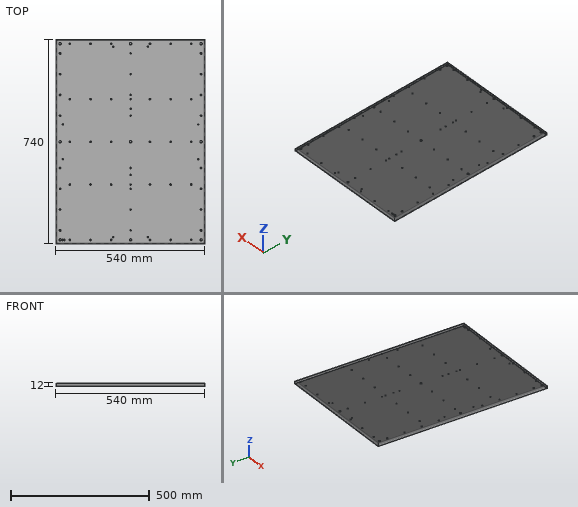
import cadquery as cq

width = 540.0
length = 740.0
height = 12.0
sheet_thickness = 1.5
bend_radius = 4.0

mount_diameter = 7.5
corner_column_diameter = 6.0
screw_diameter = 4.5
pin_diameter = 4.0

edge_inset = 15.0
edge_x = width / 2 - edge_inset
edge_y = length / 2 - edge_inset

row_x_inner = 70.0
row_x_outer = 220.0
holes_per_half_row = 3
middle_row_y = 155.0

column_y_inner = 95.0
column_y_outer = 320.5
holes_per_half_column = 4

centre_pin_y = 120.0
edge_pin_inset = 25.0
edge_pin_offset = 63.0

marker_offsets = (9.0, 15.5)


def spread(first, last, count):
    """Evenly spaced positions from first to last, both included."""
    pitch = (last - first) / (count - 1)
    return [first + i * pitch for i in range(count)]


def mirrored(points):
    """Points reflected about both centre lines, without repeats."""
    return sorted({(sx * x, sy * y) for x, y in points for sx in (-1, 1) for sy in (-1, 1)})


def drill(body, points, diameter):
    """Drill plain through holes at the given plan positions."""
    drills = cq.Workplane("XY").pushPoints(points).circle(diameter / 2).extrude(height)
    return body.cut(drills)


def sheet_tray():
    """Rectangular face with a rounded bend into a short flange on every side."""
    block = cq.Workplane("XY").box(width, length, height, centered=(True, True, False))
    block = block.faces(">Z").edges().fillet(bend_radius)
    return block.faces("<Z").shell(-sheet_thickness)


row_x = spread(row_x_inner, row_x_outer, holes_per_half_row)
column_y = spread(column_y_inner, column_y_outer, holes_per_half_column)

mount_points = mirrored([(x, y) for x in (0, edge_x) for y in (0, edge_y)])
row_points = mirrored([(x, y) for x in row_x for y in (0, middle_row_y, edge_y)])
column_points = mirrored([(edge_x, y) for y in column_y[:-1]])
corner_column_points = mirrored([(edge_x, column_y_outer)])

centre_pins = mirrored([(0, y) for y in column_y + [middle_row_y, centre_pin_y]])
end_pins = mirrored([(edge_pin_offset, length / 2 - edge_pin_inset)])
side_pins = mirrored([(width / 2 - edge_pin_inset, edge_pin_offset)])

marker_points = [(-edge_x + offset, -edge_y) for offset in marker_offsets]

result = sheet_tray()
result = drill(result, mount_points, mount_diameter)
result = drill(result, corner_column_points, corner_column_diameter)
result = drill(result, row_points + column_points + marker_points, screw_diameter)
result = drill(result, centre_pins + end_pins + side_pins, pin_diameter)